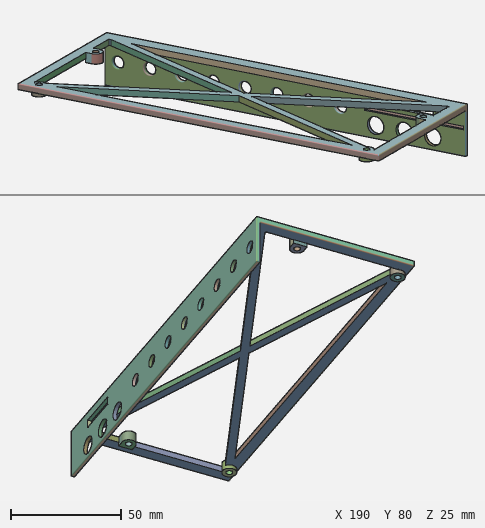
import cadquery as cq
import math

length = 190.0
depth = 80.0
height = 25.0
plate_thickness = 3.0
panel_thickness = 1.9
edge_radius = 0.5

half_length = length / 2
front_y = -depth / 2
rear_y = depth / 2
panel_face_y = rear_y - panel_thickness

side_margin = 5.7
front_margin = 5.5
rear_margin = 7.6
brace_width = 4.0

window_half_width = half_length - side_margin
window_front_y = front_y + front_margin
window_rear_y = rear_y - rear_margin
window_middle_y = (window_front_y + window_rear_y) / 2

boss_radius = 3.5
boss_height = 5.0
screw_hole_diameter = 3.0
boss_x = half_length - 9.0
front_boss_y = front_y + 4.2
rear_boss_y = rear_y - 24.9
boss_points = [(side * boss_x, y) for side in (-1, 1) for y in (front_boss_y, rear_boss_y)]

brace_angle = math.degrees(math.atan2(window_middle_y - front_boss_y, boss_x))

small_hole_count = 8
small_hole_pitch = 16.7
small_hole_diameter = 5.9
first_small_hole_x = -88.0
small_hole_z = -13.0

large_hole_count = 3
large_hole_pitch = 15.0
large_hole_diameter = 8.5
first_large_hole_x = 47.5
large_hole_z = -18.6

opening_width = 20.1
opening_height = 4.0
opening_x = 67.6
opening_z = -6.6

groove_width = 51.9
groove_height = 1.7
groove_depth = 1.3
groove_x = 67.6
groove_z = -11.4


def block(x_range, y_range, z_range):
    """Axis-aligned block filling three (low, high) ranges."""
    lows, highs = zip(x_range, y_range, z_range)
    sizes = [high - low for low, high in zip(lows, highs)]
    return cq.Workplane("XY").box(*sizes, centered=False).translate(lows)


def centred_range(middle, size):
    """Range of the given size around a middle value."""
    return (middle - size / 2, middle + size / 2)


def make_angle():
    """L-shaped body with every edge rounded, the inner corner included."""
    full_length = (-half_length, half_length)
    plate = block(full_length, (front_y, rear_y), (-plate_thickness, 0))
    panel = block(full_length, (panel_face_y, rear_y), (-height, 0))
    return plate.union(panel).edges().fillet(edge_radius)


def make_window():
    """Window volume, already split by the crossing braces."""
    window = block(
        (-window_half_width, window_half_width),
        (window_front_y, window_rear_y),
        (-plate_thickness, 0),
    )
    for angle in (brace_angle, -brace_angle):
        brace = (
            cq.Workplane("XY")
            .box(2 * length, brace_width, 2 * plate_thickness)
            .rotate((0, 0, 0), (0, 0, 1), angle)
            .translate((0, window_middle_y, 0))
        )
        window = window.cut(brace)
    return window


def make_bosses():
    """Four round bosses; the rear pair is squared off towards the plate sides."""
    bosses = (
        cq.Workplane("XY")
        .pushPoints(boss_points)
        .circle(boss_radius)
        .extrude(-boss_height)
    )
    for side in (-1, 1):
        web = block(
            centred_range(side * (boss_x + boss_radius / 2), boss_radius),
            centred_range(rear_boss_y, 2 * boss_radius),
            (-boss_height, 0),
        )
        bosses = bosses.union(web)
    return bosses


def make_screw_holes():
    """Holes through the plate and all four bosses."""
    return (
        cq.Workplane("XY")
        .pushPoints(boss_points)
        .circle(screw_hole_diameter / 2)
        .extrude(-boss_height)
    )


def plain_hole(x, z, diameter):
    """Straight hole through the panel along Y."""
    start = cq.Workplane("XZ", origin=(x, panel_face_y, z))
    return start.circle(diameter / 2).extrude(-panel_thickness)


def rounded_hole(x, z, diameter):
    """Hole through the panel whose inner rim is rounded."""
    radius = diameter / 2
    rim_radius = radius + edge_radius
    arc_offset = edge_radius * (1 - math.sqrt(0.5))
    profile = (
        cq.Workplane("XY")
        .moveTo(0, 0)
        .lineTo(rim_radius, 0)
        .threePointArc((radius + arc_offset, arc_offset), (radius, edge_radius))
        .lineTo(radius, panel_thickness)
        .lineTo(0, panel_thickness)
        .close()
    )
    return profile.revolve(360, (0, 0, 0), (0, 1, 0)).translate((x, panel_face_y, z))


result = make_angle().cut(make_window()).union(make_bosses()).cut(make_screw_holes())

for index in range(small_hole_count):
    hole_x = first_small_hole_x + index * small_hole_pitch
    result = result.cut(rounded_hole(hole_x, small_hole_z, small_hole_diameter))

for index in range(large_hole_count):
    hole_x = first_large_hole_x + index * large_hole_pitch
    result = result.cut(plain_hole(hole_x, large_hole_z, large_hole_diameter))

opening = block(
    centred_range(opening_x, opening_width),
    (panel_face_y, rear_y),
    centred_range(opening_z, opening_height),
)
groove = block(
    centred_range(groove_x, groove_width),
    (panel_face_y, panel_face_y + groove_depth),
    centred_range(groove_z, groove_height),
)
result = result.cut(opening).cut(groove)